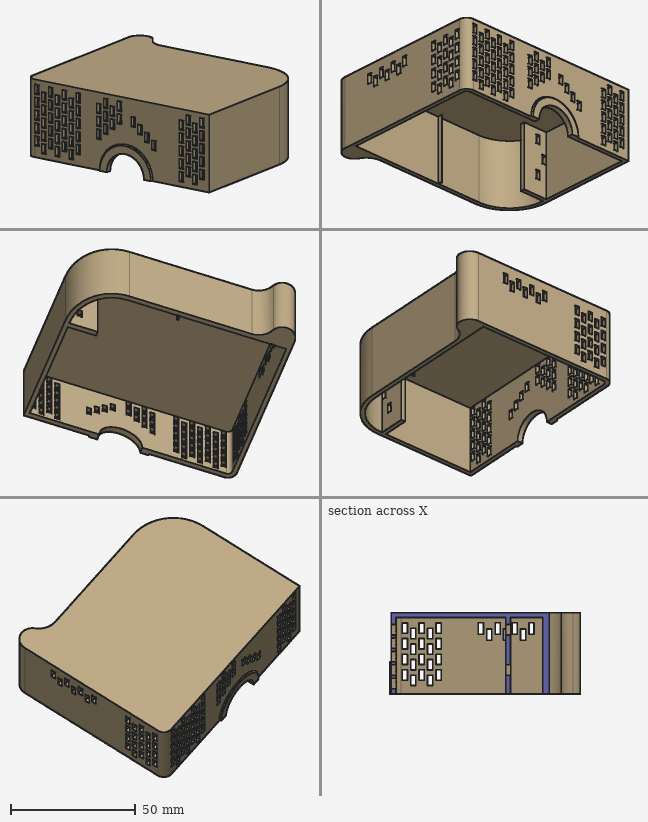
import cadquery as cq
import math

length = 90.15
height = 32.7
ring_projection = 0.6
depth = 76.8 - ring_projection

lobe_radius = 5.3
hollow_radius = 8.3
rear_corner_radius = 20.0
front_corner_radius = 4.0
lobe_rise = 7.7
rear_y = depth - lobe_rise
wall = 2.0

partition_x = 76.0
partition_y = 46.1
window_offset = 0.5

rib_x = 47.9
rib_thickness = 0.5
rib_projection = wall

slot_width = 2.0
slot_height = 4.1
tall_slot_height = 4.5

front_first_x = 5.0
front_last_x = 86.5
front_last_column = 24
column_pitch = (front_last_x - front_first_x) / front_last_column
front_top_z = 28.6
front_half_pitch = 2.7

side_first_y = 5.5
side_top_z = 26.5
side_bottom_z = 7.7
side_stagger = 2.2
side_columns = 5
side_rows = 4
side_row_pitch = (side_top_z - side_bottom_z) / (side_rows - 1)

strip_first_column = 9
strip_columns = 7
strip_top_z = 26.3
strip_stagger = 2.4

ring_x = 49.1
ring_base_radius = 13.2
ring_face_radius = 12.6
opening_radius = 9.2

front_columns = (
    [(column, column % 2, 5) for column in range(7)]
    + [(9, 1, 3), (10, 0, 3), (11, 1, 2), (12, 0, 2)]
    + [(14 + step, 2 + step, 1) for step in range(4)]
    + [(column, column % 2, 5) for column in range(21, front_last_column + 1)]
)

partition_windows = [(23, 1), (23, 7), (24, 4)]


def slot_x(column):
    return front_first_x + column * column_pitch


def slot_z(half_rows_down):
    return front_top_z - half_rows_down * front_half_pitch


def housing_block():
    """Solid block with the rounded outline of the housing."""
    lobe_y = depth - lobe_radius
    hollow_y = rear_y + hollow_radius
    centre_rise = hollow_y - lobe_y
    centre_distance = lobe_radius + hollow_radius
    centre_run = math.sqrt(centre_distance**2 - centre_rise**2)
    hollow_x = lobe_radius + centre_run
    touch = (
        lobe_radius + lobe_radius * centre_run / centre_distance,
        lobe_y + lobe_radius * centre_rise / centre_distance,
    )
    return (
        cq.Workplane("XY")
        .moveTo(length, 0)
        .lineTo(length, rear_y - rear_corner_radius)
        .tangentArcPoint((length - rear_corner_radius, rear_y), relative=False)
        .lineTo(hollow_x, rear_y)
        .tangentArcPoint(touch, relative=False)
        .tangentArcPoint((0, lobe_y), relative=False)
        .lineTo(0, front_corner_radius)
        .tangentArcPoint((front_corner_radius, 0), relative=False)
        .close()
        .extrude(height)
    )


def cavity():
    """Hollow inside the walls, open underneath, with the lobe left solid."""
    left_x = wall
    right_x = length - wall
    back_y = rear_y - wall
    rear_radius = rear_corner_radius - wall
    front_radius = front_corner_radius - wall
    return (
        cq.Workplane("XY")
        .moveTo(right_x, wall)
        .lineTo(right_x, back_y - rear_radius)
        .tangentArcPoint((right_x - rear_radius, back_y), relative=False)
        .lineTo(left_x, back_y)
        .lineTo(left_x, wall + front_radius)
        .tangentArcPoint((left_x + front_radius, wall), relative=False)
        .close()
        .extrude(height - wall)
    )


def partition():
    """Upright wall across the rounded rear corner, pierced by a few windows."""
    span = length - wall - partition_x
    panel = cq.Workplane("XY").box(span, wall, height - wall, centered=False)
    panel = panel.translate((partition_x, partition_y, 0))
    centres = [
        (slot_x(column) + window_offset, slot_z(half_rows_down))
        for column, half_rows_down in partition_windows
    ]
    windows = (
        cq.Workplane("XZ", origin=(0, partition_y + wall, 0))
        .pushPoints(centres)
        .rect(slot_width, slot_height)
        .extrude(wall)
    )
    return panel.cut(windows)


def rear_rib():
    """Full-height rib on the inner face of the rear wall."""
    back_y = rear_y - wall
    rib = cq.Workplane("XY").box(rib_thickness, rib_projection, height - wall, centered=False)
    return rib.translate((rib_x - rib_thickness / 2, back_y - rib_projection, 0))


def ring():
    """Tapered half-round ring standing on the front wall."""
    return (
        cq.Workplane("XY")
        .moveTo(0, 0)
        .lineTo(ring_base_radius, 0)
        .lineTo(ring_face_radius, -ring_projection)
        .lineTo(0, -ring_projection)
        .close()
        .revolve(180, (0, 0, 0), (0, -1, 0))
        .translate((ring_x, 0, 0))
    )


def opening():
    """Cutter for the round opening through the front wall and its ring."""
    return (
        cq.Workplane("XZ", origin=(ring_x, wall, 0))
        .circle(opening_radius)
        .extrude(wall + ring_projection)
    )


def front_slots():
    """Cutter for the vent slots in the front wall."""
    centres = [
        (slot_x(column), slot_z(half_rows_down + 2 * row))
        for column, half_rows_down, count in front_columns
        for row in range(count)
    ]
    return (
        cq.Workplane("XZ", origin=(0, wall, 0))
        .pushPoints(centres)
        .rect(slot_width, slot_height)
        .extrude(wall)
    )


def left_slots(centres, slot_length):
    """Cutter for vent slots in the left wall at the given (Y, Z) centres."""
    return (
        cq.Workplane("YZ")
        .pushPoints(centres)
        .rect(slot_width, slot_length)
        .extrude(wall)
    )


def side_y(column):
    return side_first_y + column * column_pitch


grid_centres = [
    (side_y(column), side_top_z - row * side_row_pitch - column % 2 * side_stagger)
    for column in range(side_columns)
    for row in range(side_rows)
]
strip_centres = [
    (side_y(strip_first_column + step), strip_top_z - step % 2 * strip_stagger)
    for step in range(strip_columns)
]

result = (
    housing_block()
    .cut(cavity())
    .union(partition())
    .union(rear_rib())
    .union(ring())
    .cut(opening())
    .cut(front_slots())
    .cut(left_slots(grid_centres, slot_height))
    .cut(left_slots(strip_centres, tall_slot_height))
)